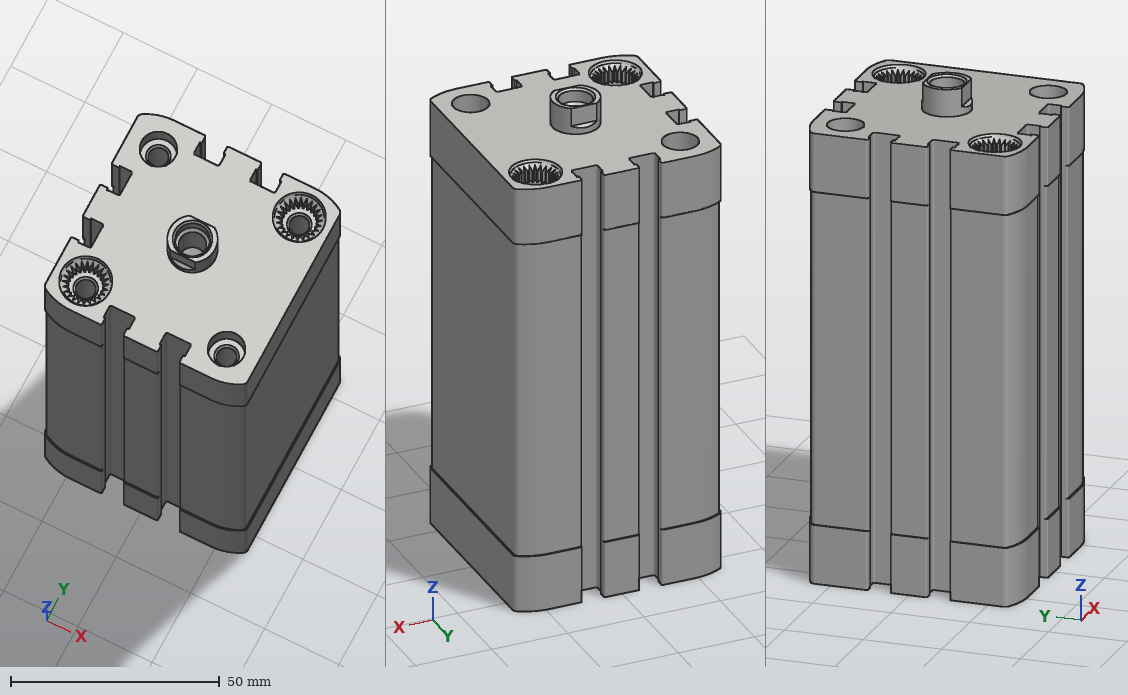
import cadquery as cq
import math

TOTAL_HEIGHT = 121.7
ROD_PROJECTION = 6.9
HOUSING_HEIGHT = TOTAL_HEIGHT - ROD_PROJECTION
CAP_WIDTH = 54.5
CAP_HEIGHT = 15.0
PROFILE_INSET = 0.4

CORNER_ARC_RADIUS = 15.0
CORNER_ARC_START = 19.0
EDGE_ROUND_RADIUS = 1.5

SLOT_OFFSET = 7.5
SLOT_MOUTH_WIDTH = 5.8
SLOT_WIDTH = 6.8
SLOT_LIP = 2.1
SLOT_DEPTH = 5.5
MOUTH_ROUND_RADIUS = 0.4
FLOOR_ROUND_RADIUS = 0.5

HOLE_OFFSET = 19.0
BOLT_HOLE_DIAMETER = 4.9
BOLT_CHAMFER_DIAMETER = 6.0
RECESS_DEPTH = 5.0
PLAIN_RECESS_DIAMETER = 9.0

SOCKET_RIM_DIAMETER = 12.8
SOCKET_RIM_DEPTH = 0.6
SOCKET_CONE_TOP_DIAMETER = 11.9
SOCKET_CONE_DEPTH = 2.0
SOCKET_BORE_DIAMETER = 8.4
SOCKET_TIP_DIAMETER = 7.8
SOCKET_ROOT_DIAMETER = 11.0
SOCKET_TEETH = 24

ROD_DIAMETER = 12.0
ROD_BOTTOM = HOUSING_HEIGHT - CAP_HEIGHT
FLAT_SPACING = 10.0
FLAT_HEIGHT = 4.7
FLAT_SLOPE_HEIGHT = 0.6
ROD_MOUTH_DIAMETER = 9.5
ROD_BORE_DIAMETER = 8.4
ROD_BORE_DEPTH = 3.5
ROD_STEP_DEPTH = 4.3
THREAD_HOLE_DIAMETER = 6.7
THREAD_HOLE_DEPTH = 14.6
DRILL_POINT_ANGLE = 118.0


def block(half_width, bottom, height):
    """Square prism whose -Y and +Y sides curve in towards its rounded long edges."""

    def corner_point(run):
        drop = CORNER_ARC_RADIUS - math.sqrt(CORNER_ARC_RADIUS**2 - run**2)
        return CORNER_ARC_START + run, half_width - drop

    arc_run = half_width - CORNER_ARC_START
    mid_x, mid_y = corner_point(arc_run / 2)
    end_x, end_y = corner_point(arc_run)
    return (
        cq.Workplane("XY", origin=(0, 0, bottom))
        .moveTo(-CORNER_ARC_START, half_width)
        .lineTo(CORNER_ARC_START, half_width)
        .threePointArc((mid_x, mid_y), (end_x, end_y))
        .lineTo(end_x, -end_y)
        .threePointArc((mid_x, -mid_y), (CORNER_ARC_START, -half_width))
        .lineTo(-CORNER_ARC_START, -half_width)
        .threePointArc((-mid_x, -mid_y), (-end_x, -end_y))
        .lineTo(-end_x, end_y)
        .threePointArc((-mid_x, mid_y), (-CORNER_ARC_START, half_width))
        .close()
        .extrude(height)
        .faces("<X or >X")
        .edges("|Z")
        .fillet(EDGE_ROUND_RADIUS)
    )


def t_slot(offset, half_width, bottom, height):
    """Undercut slot in the -Y side of a block, with a rounded mouth and a rounded floor."""
    side = -half_width
    lip = SLOT_LIP - CAP_WIDTH / 2
    floor = SLOT_DEPTH - CAP_WIDTH / 2
    mouth = SLOT_MOUTH_WIDTH / 2
    undercut = SLOT_WIDTH / 2
    flare = mouth + MOUTH_ROUND_RADIUS
    base = undercut - FLOOR_ROUND_RADIUS
    return (
        cq.Workplane("XY", origin=(offset, 0, bottom))
        .moveTo(-flare, side)
        .radiusArc((-mouth, side + MOUTH_ROUND_RADIUS), -MOUTH_ROUND_RADIUS)
        .lineTo(-mouth, lip)
        .lineTo(-undercut, lip)
        .lineTo(-undercut, floor - FLOOR_ROUND_RADIUS)
        .radiusArc((-base, floor), FLOOR_ROUND_RADIUS)
        .lineTo(base, floor)
        .radiusArc((undercut, floor - FLOOR_ROUND_RADIUS), FLOOR_ROUND_RADIUS)
        .lineTo(undercut, lip)
        .lineTo(mouth, lip)
        .lineTo(mouth, side + MOUTH_ROUND_RADIUS)
        .radiusArc((flare, side), -MOUTH_ROUND_RADIUS)
        .close()
        .extrude(height)
    )


def turned(points):
    """Solid of revolution about Z through (radius, z) points."""
    return cq.Workplane("XZ").polyline(points).close().revolve(360, (0, 0), (0, 1))


def bolt_hole():
    """Through hole with a chamfered mouth on the recess floor."""
    floor = HOUSING_HEIGHT - RECESS_DEPTH
    hole = BOLT_HOLE_DIAMETER / 2
    mouth = BOLT_CHAMFER_DIAMETER / 2
    return turned([(0, 0), (hole, 0), (hole, floor - (mouth - hole)), (mouth, floor), (0, floor)])


def plain_recess():
    """Round counterbore over a bolt hole."""
    floor = HOUSING_HEIGHT - RECESS_DEPTH
    return cq.Workplane("XY", origin=(0, 0, floor)).circle(PLAIN_RECESS_DIAMETER / 2).extrude(RECESS_DEPTH)


def toothed_socket():
    """Star-grooved bore below a steep rim and a countersink, over a bolt hole."""
    bore = SOCKET_BORE_DIAMETER / 2
    tip = SOCKET_TIP_DIAMETER / 2
    root = SOCKET_ROOT_DIAMETER / 2
    floor = HOUSING_HEIGHT - RECESS_DEPTH
    points = []
    for i in range(2 * SOCKET_TEETH):
        radius = root if i % 2 else tip
        angle = math.pi * i / SOCKET_TEETH
        points.append((radius * math.cos(angle), radius * math.sin(angle)))
    star = (
        cq.Workplane("XY", origin=(0, 0, floor))
        .polyline(points)
        .close()
        .extrude(RECESS_DEPTH)
    )
    rim_floor = HOUSING_HEIGHT - SOCKET_RIM_DEPTH
    cone_bottom = HOUSING_HEIGHT - SOCKET_CONE_DEPTH
    entry = turned([
        (0, cone_bottom),
        (bore, cone_bottom),
        (SOCKET_CONE_TOP_DIAMETER / 2, rim_floor),
        (SOCKET_RIM_DIAMETER / 2, HOUSING_HEIGHT),
        (0, HOUSING_HEIGHT),
    ])
    core = cq.Workplane("XY", origin=(0, 0, floor)).circle(bore).extrude(RECESS_DEPTH)
    return star.union(core).union(entry)


def slotted_block(half_width, bottom, height):
    """Block with two T-slots in each of its -Y, -X and +Y sides."""
    body = block(half_width, bottom, height)
    for turn in (0, -90, 180):
        for offset in (-SLOT_OFFSET, SLOT_OFFSET):
            slot = t_slot(offset, half_width, bottom, height)
            body = body.cut(slot.rotate((0, 0, 0), (0, 0, 1), turn))
    return body


def make_housing():
    """Slotted profile between two wider caps, with corner bolt holes and a blind rod seat."""
    cap_half = CAP_WIDTH / 2
    upper_cap_bottom = HOUSING_HEIGHT - CAP_HEIGHT
    housing = slotted_block(cap_half - PROFILE_INSET, CAP_HEIGHT, upper_cap_bottom - CAP_HEIGHT)
    for bottom in (0, upper_cap_bottom):
        housing = housing.union(slotted_block(cap_half, bottom, CAP_HEIGHT))
    for x in (-HOLE_OFFSET, HOLE_OFFSET):
        for y in (-HOLE_OFFSET, HOLE_OFFSET):
            recess = toothed_socket() if x == y else plain_recess()
            housing = housing.cut(bolt_hole().union(recess).translate((x, y, 0)))
    seat = (
        cq.Workplane("XY", origin=(0, 0, ROD_BOTTOM))
        .circle(ROD_DIAMETER / 2)
        .extrude(CAP_HEIGHT)
    )
    return housing.cut(seat)


def make_rod():
    """Piston rod reaching down to the underside of the upper cap."""
    rod = (
        cq.Workplane("XY", origin=(0, 0, ROD_BOTTOM))
        .circle(ROD_DIAMETER / 2)
        .extrude(TOTAL_HEIGHT - ROD_BOTTOM)
    )
    thread = THREAD_HOLE_DIAMETER / 2
    bore = ROD_BORE_DIAMETER / 2
    mouth = ROD_MOUTH_DIAMETER / 2
    point = thread / math.tan(math.radians(DRILL_POINT_ANGLE / 2))
    hole_bottom = TOTAL_HEIGHT - THREAD_HOLE_DEPTH
    rod = rod.cut(turned([
        (0, hole_bottom - point),
        (thread, hole_bottom),
        (thread, TOTAL_HEIGHT - ROD_STEP_DEPTH),
        (bore, TOTAL_HEIGHT - ROD_BORE_DEPTH),
        (bore, TOTAL_HEIGHT - (mouth - bore)),
        (mouth, TOTAL_HEIGHT),
        (0, TOTAL_HEIGHT),
    ]))
    flat = FLAT_SPACING / 2
    outside = ROD_DIAMETER / 2
    flat_bottom = TOTAL_HEIGHT - FLAT_HEIGHT
    cutter = (
        cq.Workplane("YZ")
        .polyline([
            (flat, TOTAL_HEIGHT),
            (flat, flat_bottom),
            (outside, flat_bottom - FLAT_SLOPE_HEIGHT),
            (outside, TOTAL_HEIGHT),
        ])
        .close()
        .extrude(outside, both=True)
    )
    return rod.cut(cutter).cut(cutter.mirror("XZ"))


housing = make_housing()
rod = make_rod()
result = cq.Compound.makeCompound([housing.val(), rod.val()])